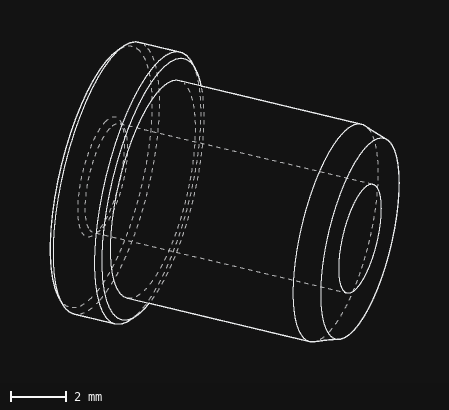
import cadquery as cq
import math

length = 10.0
flange_diameter = 10.0
flange_thickness = 2.0
body_diameter = 8.0
bore_diameter = 4.0
edge_chamfer = 0.2

taper_length = 0.94
taper_angle = 18.0
taper_depth = taper_length * math.tan(math.radians(taper_angle))


def disc(diameter, thickness):
    """Solid cylinder along +X, starting at X = 0."""
    return cq.Workplane("YZ").circle(diameter / 2).extrude(thickness)


flange = disc(flange_diameter, flange_thickness).edges().chamfer(edge_chamfer)

body_radius = body_diameter / 2
body_profile = [
    (0, 0),
    (length, 0),
    (length, body_radius - taper_depth),
    (length - taper_length, body_radius),
    (0, body_radius),
]
body = cq.Workplane("XY").polyline(body_profile).close().revolve(360, (0, 0, 0), (1, 0, 0))

bushing = flange.union(body).cut(disc(bore_diameter, length))
bore_rim = cq.selectors.RadiusNthSelector(0)
result = bushing.faces("<X").edges(bore_rim).chamfer(edge_chamfer)